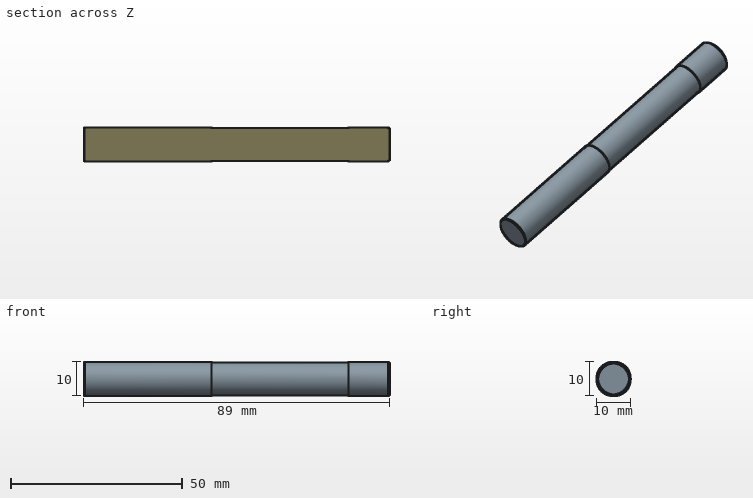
import cadquery as cq

NECK_START = 37.0
SHANK_START = 77.0
TOTAL_LENGTH = 89.0

BODY_DIAMETER = 10.0
NECK_DIAMETER = 9.7

FRONT_CHAMFER = 0.2
SHANK_CHAMFER = 0.5


def section(start, end, diameter):
    """Cylinder about the X axis from start to end."""
    return cq.Workplane("YZ").workplane(offset=start).circle(diameter / 2).extrude(end - start)


front = section(0, NECK_START, BODY_DIAMETER).faces("<X").chamfer(FRONT_CHAMFER)
neck = section(NECK_START, SHANK_START, NECK_DIAMETER)
shank = section(SHANK_START, TOTAL_LENGTH, BODY_DIAMETER).faces(">X").chamfer(SHANK_CHAMFER)

result = front.union(neck).union(shank)